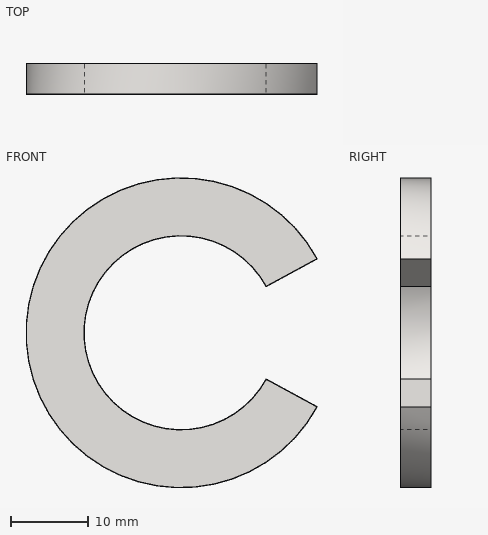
import cadquery as cq
import math

outer_radius = 20.0
inner_radius = 12.5
thickness = 4.0
gap_angle = 57.0

half_gap = gap_angle / 2


def ring_point(radius, angle):
    """Point in the XZ plane at the given radius and angle from +X."""
    radians = math.radians(angle)
    return (radius * math.cos(radians), radius * math.sin(radians))


def open_ring():
    """Flat C-shaped ring around the Y axis, with radial end faces."""
    return (
        cq.Workplane("XZ")
        .moveTo(*ring_point(outer_radius, half_gap))
        .threePointArc((-outer_radius, 0), ring_point(outer_radius, -half_gap))
        .lineTo(*ring_point(inner_radius, -half_gap))
        .threePointArc((-inner_radius, 0), ring_point(inner_radius, half_gap))
        .close()
        .extrude(thickness / 2, both=True)
    )


result = open_ring()